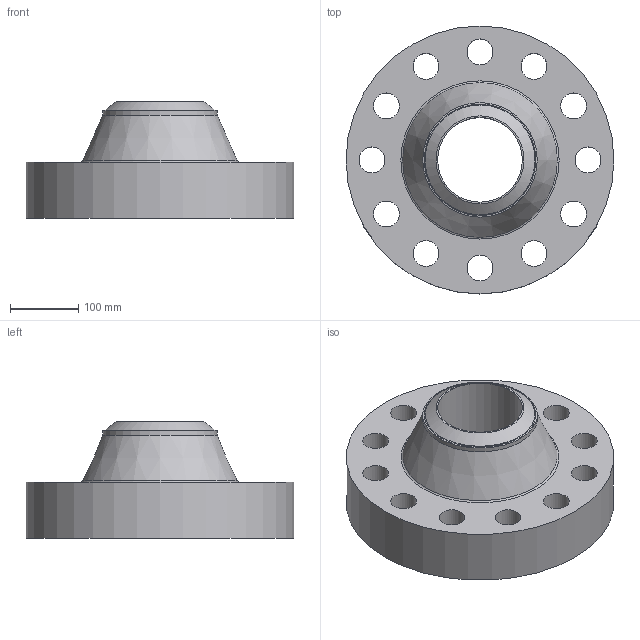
import cadquery as cq
import math

FLANGE_DIAMETER = 393.7
FLANGE_THICKNESS = 82.55
OVERALL_HEIGHT = 171.45
BORE_DIAMETER = 124.4

BOLT_COUNT = 12
BOLT_CIRCLE_DIAMETER = 317.5
BOLT_HOLE_DIAMETER = 38.1

HUB_BASE_DIAMETER = 228.6
COLLAR_DIAMETER = 168.3
COLLAR_BOTTOM = 151.5
FOOT_FILLET = 3.0

ROOT_FACE_WIDTH = 2.4
BEVEL_END_WALL = 19.05
BEVEL_ANGLE = 37.5
RIM_ANGLE = 10.0
RIM_FILLET = 3.0

SELECTION_MARGIN = 0.1

flange_radius = FLANGE_DIAMETER / 2
bore_radius = BORE_DIAMETER / 2
hub_base_radius = HUB_BASE_DIAMETER / 2
collar_radius = COLLAR_DIAMETER / 2
root_face_radius = bore_radius + ROOT_FACE_WIDTH
bevel_end_radius = bore_radius + BEVEL_END_WALL
bevel_drop = (bevel_end_radius - root_face_radius) * math.tan(math.radians(BEVEL_ANGLE))
bevel_end_height = OVERALL_HEIGHT - bevel_drop
rim_drop = (collar_radius - bevel_end_radius) * math.tan(math.radians(RIM_ANGLE))
collar_top = bevel_end_height - rim_drop


def make_body():
    """Revolve the half section of the flange, hub and weld end about Z."""
    half_section = (
        cq.Workplane("XZ")
        .moveTo(bore_radius, 0)
        .lineTo(flange_radius, 0)
        .lineTo(flange_radius, FLANGE_THICKNESS)
        .lineTo(hub_base_radius, FLANGE_THICKNESS)
        .lineTo(collar_radius, COLLAR_BOTTOM)
        .lineTo(collar_radius, collar_top)
        .lineTo(bevel_end_radius, bevel_end_height)
        .lineTo(root_face_radius, OVERALL_HEIGHT)
        .lineTo(bore_radius, OVERALL_HEIGHT)
        .close()
    )
    return half_section.revolve(360, (0, 0, 0), (0, 1, 0))


def fillet_circle(body, circle_radius, height, fillet_radius):
    """Fillet the circular edge of the given radius lying at the given height."""
    reach = circle_radius + SELECTION_MARGIN
    around_circle = cq.selectors.BoxSelector(
        (-reach, -reach, height - SELECTION_MARGIN),
        (reach, reach, height + SELECTION_MARGIN),
        boundingbox=True,
    )
    edge = body.edges(around_circle).edges(cq.selectors.RadiusNthSelector(-1))
    return edge.fillet(fillet_radius)


def cut_bolt_holes(body):
    """Drill the ring of bolt holes through the flange."""
    holes = (
        cq.Workplane("XY")
        .polarArray(BOLT_CIRCLE_DIAMETER / 2, 0, 360, BOLT_COUNT)
        .circle(BOLT_HOLE_DIAMETER / 2)
        .extrude(FLANGE_THICKNESS)
    )
    return body.cut(holes)


flange = make_body()
flange = fillet_circle(flange, hub_base_radius, FLANGE_THICKNESS, FOOT_FILLET)
flange = fillet_circle(flange, bevel_end_radius, bevel_end_height, RIM_FILLET)
result = cut_bolt_holes(flange)